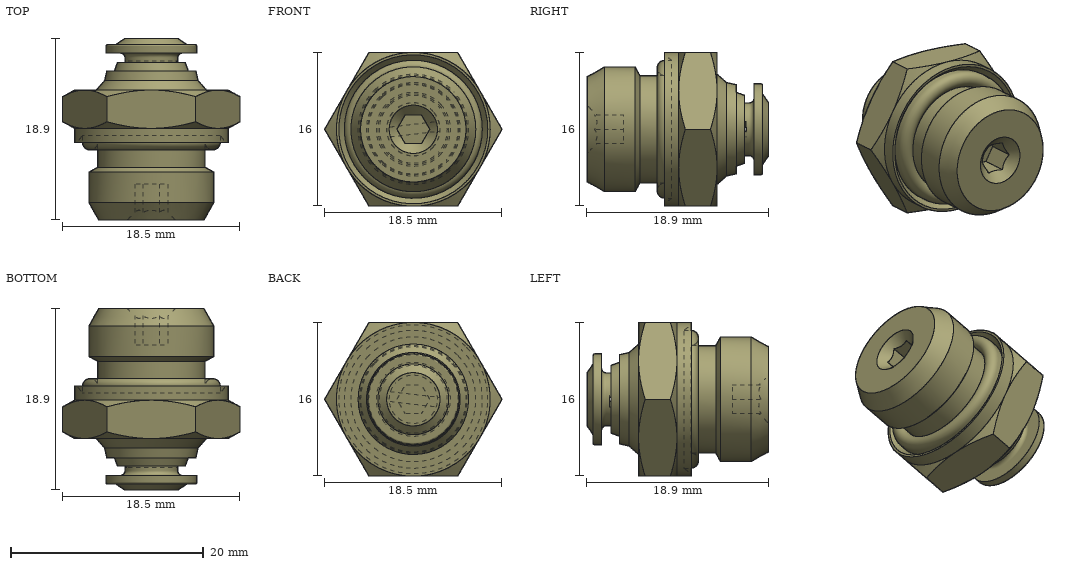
import cadquery as cq
import math

LENGTH = 18.9

END_RADIUS = 5.48
THREAD_RADIUS = 6.5
LEAD_IN_LENGTH = 1.81
THREAD_END = 5.0
NECK_RADIUS = 5.6
NECK_START = 5.5

FLANGE_FRONT = 8.05
RECESS_MOUTH_RADIUS = 7.75
RECESS_DEPTH = 0.75
RING_SECTION_RADIUS = 0.8
RING_CENTER_RADIUS = NECK_RADIUS + RING_SECTION_RADIUS
RING_CENTER_Y = 8.09
RING_OUTER_RADIUS = RING_CENTER_RADIUS + RING_SECTION_RADIUS

HEX_FLATS = 16.0
HEX_FRONT = 9.55
HEX_BACK = 13.53
HEX_CHAMFER_ANGLE = 29.0
FLANGE_RADIUS = HEX_FLATS / 2

SHOULDER_BASE_RADIUS = 5.75
SHOULDER_MID_RADIUS = 4.88
SHOULDER_MID_Y = 14.52
SHOULDER_TOP_RADIUS = 4.65
SHOULDER_TOP_Y = 15.54
COLLAR_BASE_RADIUS = 3.85
COLLAR_TOP_RADIUS = 3.53
COLLAR_TOP_Y = 16.4

STEM_RADIUS = 2.75
STEM_FILLET = 0.47
BUTTON_RADIUS = 4.75
BUTTON_FRONT = 17.37
BUTTON_BACK = 18.28
BUTTON_EDGE_FILLET = 0.2
CAP_BASE_RADIUS = 3.69
CAP_TOP_RADIUS = 2.78

SLOT_WIDTH = 1.02
SLOT_HEIGHT = 0.15
SLOT_ANGLE = 6.6

SOCKET_FLATS = 2.97
SOCKET_DEPTH = 3.78
SOCKET_MOUTH_RADIUS = 2.51
SOCKET_MOUTH_DEPTH = SOCKET_MOUTH_RADIUS - SOCKET_FLATS / 2

DIAGONAL = math.sqrt(0.5)


def revolve_about_y(sketch):
    return sketch.close().revolve(360, (0, 0, 0), (0, 1, 0))


def hex_prism(flats, start, end):
    """Hexagonal prism along Y with two corners on the X axis."""
    corner_diameter = flats / math.cos(math.pi / 6)
    plane = cq.Plane(origin=(0, start, 0), xDir=(1, 0, 0), normal=(0, 1, 0))
    return cq.Workplane(plane).polygon(6, corner_diameter).extrude(end - start)


def make_threaded_end():
    """Plug, relief neck and flange, with the ring recess cut into the flange."""
    recess_floor = FLANGE_FRONT + RECESS_DEPTH
    return revolve_about_y(
        cq.Workplane("XY")
        .moveTo(0, 0)
        .lineTo(END_RADIUS, 0)
        .lineTo(THREAD_RADIUS, LEAD_IN_LENGTH)
        .lineTo(THREAD_RADIUS, THREAD_END)
        .lineTo(NECK_RADIUS, NECK_START)
        .lineTo(NECK_RADIUS, recess_floor)
        .lineTo(RING_OUTER_RADIUS, recess_floor)
        .lineTo(RECESS_MOUTH_RADIUS, FLANGE_FRONT)
        .lineTo(FLANGE_RADIUS, FLANGE_FRONT)
        .lineTo(FLANGE_RADIUS, HEX_FRONT)
        .lineTo(0, HEX_FRONT)
    )


def make_seal_ring():
    """O-ring, with its half inside the recess squared off to fill the groove."""
    return revolve_about_y(
        cq.Workplane("XY")
        .moveTo(NECK_RADIUS, RING_CENTER_Y)
        .threePointArc(
            (RING_CENTER_RADIUS - RING_SECTION_RADIUS * DIAGONAL,
             RING_CENTER_Y - RING_SECTION_RADIUS * DIAGONAL),
            (RING_CENTER_RADIUS, RING_CENTER_Y - RING_SECTION_RADIUS),
        )
        .threePointArc(
            (RING_CENTER_RADIUS + RING_SECTION_RADIUS * DIAGONAL,
             RING_CENTER_Y - RING_SECTION_RADIUS * DIAGONAL),
            (RING_OUTER_RADIUS, RING_CENTER_Y),
        )
        .lineTo(RING_OUTER_RADIUS, FLANGE_FRONT + RECESS_DEPTH)
        .lineTo(NECK_RADIUS, FLANGE_FRONT + RECESS_DEPTH)
    )


def make_hexagon():
    """Wrench hexagon with its corners turned off conically at both ends."""
    corner_radius = HEX_FLATS / 2 / math.cos(math.pi / 6)
    drop = (corner_radius - FLANGE_RADIUS) * math.tan(math.radians(HEX_CHAMFER_ANGLE))
    envelope = revolve_about_y(
        cq.Workplane("XY")
        .moveTo(0, HEX_FRONT)
        .lineTo(FLANGE_RADIUS, HEX_FRONT)
        .lineTo(corner_radius, HEX_FRONT + drop)
        .lineTo(corner_radius, HEX_BACK - drop)
        .lineTo(FLANGE_RADIUS, HEX_BACK)
        .lineTo(0, HEX_BACK)
    )
    return hex_prism(HEX_FLATS, HEX_FRONT, HEX_BACK).intersect(envelope)


def make_release_end():
    """Tapered shoulders, stem and release button."""
    fillet_center_radius = STEM_RADIUS + STEM_FILLET
    fillet_start = BUTTON_FRONT - STEM_FILLET
    edge_center_radius = BUTTON_RADIUS - BUTTON_EDGE_FILLET
    edge_start = BUTTON_BACK - BUTTON_EDGE_FILLET
    return revolve_about_y(
        cq.Workplane("XY")
        .moveTo(0, HEX_BACK)
        .lineTo(SHOULDER_BASE_RADIUS, HEX_BACK)
        .lineTo(SHOULDER_MID_RADIUS, SHOULDER_MID_Y)
        .lineTo(SHOULDER_TOP_RADIUS, SHOULDER_TOP_Y)
        .lineTo(COLLAR_BASE_RADIUS, SHOULDER_TOP_Y)
        .lineTo(COLLAR_TOP_RADIUS, COLLAR_TOP_Y)
        .lineTo(STEM_RADIUS, COLLAR_TOP_Y)
        .lineTo(STEM_RADIUS, fillet_start)
        .threePointArc(
            (fillet_center_radius - STEM_FILLET * DIAGONAL,
             fillet_start + STEM_FILLET * DIAGONAL),
            (fillet_center_radius, BUTTON_FRONT),
        )
        .lineTo(BUTTON_RADIUS, BUTTON_FRONT)
        .lineTo(BUTTON_RADIUS, edge_start)
        .threePointArc(
            (edge_center_radius + BUTTON_EDGE_FILLET * DIAGONAL,
             edge_start + BUTTON_EDGE_FILLET * DIAGONAL),
            (edge_center_radius, BUTTON_BACK),
        )
        .lineTo(CAP_BASE_RADIUS, BUTTON_BACK)
        .lineTo(CAP_TOP_RADIUS, LENGTH)
        .lineTo(0, LENGTH)
    )


def make_stem_slot():
    """Thin cross slot through the stem, turned slightly about Y."""
    return (
        cq.Workplane("XY")
        .box(2 * COLLAR_TOP_RADIUS, SLOT_HEIGHT, SLOT_WIDTH)
        .translate((0, COLLAR_TOP_Y + SLOT_HEIGHT / 2, 0))
        .rotate((0, 0, 0), (0, 1, 0), -SLOT_ANGLE)
    )


def make_socket():
    """Blind hexagonal socket plus its 45 degree countersink."""
    mouth = revolve_about_y(
        cq.Workplane("XY")
        .moveTo(0, 0)
        .lineTo(SOCKET_MOUTH_RADIUS, 0)
        .lineTo(SOCKET_FLATS / 2, SOCKET_MOUTH_DEPTH)
        .lineTo(0, SOCKET_MOUTH_DEPTH)
    )
    return hex_prism(SOCKET_FLATS, 0, SOCKET_DEPTH).union(mouth)


body = make_threaded_end().union(make_seal_ring()).union(make_hexagon()).union(make_release_end())
result = body.cut(make_stem_slot()).cut(make_socket())